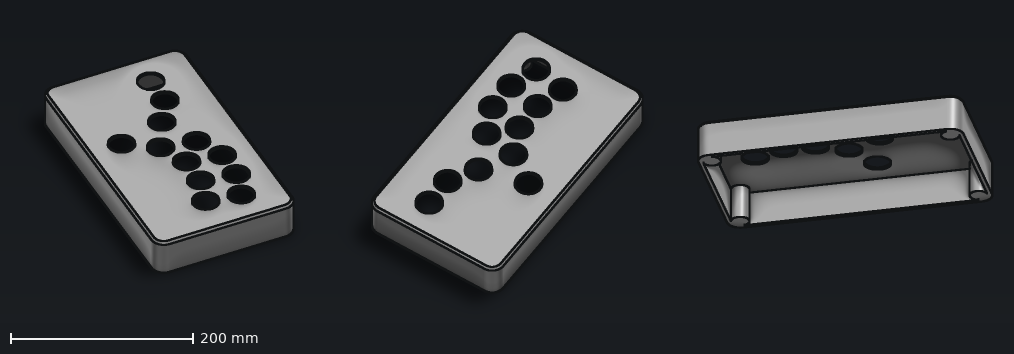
import cadquery as cq

length = 298.0
width = 171.0
height = 43.0
corner_radius = 15.0
edge_chamfer = 3.0

wall = 5.0
top_thickness = 3.0
cavity_length = length - 2 * wall
cavity_width = width - 2 * wall
cavity_height = height - top_thickness
cavity_radius = corner_radius - wall

post_radius = 10.0
post_spacing_x = length - 2 * corner_radius
post_spacing_y = width - 2 * corner_radius

button_diameter = 30.0
button_centres = [
    (-109.0, 29.5),
    (-73.0, 29.5),
    (-40.8, 10.5),
    (-26.0, -45.5),
    (5.0, 30.7),
    (39.0, 45.5),
    (75.0, 45.5),
    (109.0, 35.5),
    (-2.0, -9.5),
    (32.2, 5.7),
    (68.0, 5.7),
    (102.2, -4.5),
]


def rounded_block(size_x, size_y, size_z, radius):
    """Block standing on Z = 0 with rounded vertical edges."""
    block = cq.Workplane("XY").box(size_x, size_y, size_z, centered=(True, True, False))
    return block.edges("|Z").fillet(radius)


body = rounded_block(length, width, height, corner_radius)
body = body.faces(">Z").edges().chamfer(edge_chamfer)

cavity = rounded_block(cavity_length, cavity_width, cavity_height, cavity_radius)
posts = (
    cq.Workplane("XY")
    .rarray(post_spacing_x, post_spacing_y, 2, 2)
    .circle(post_radius)
    .extrude(cavity_height)
)
cavity = cavity.cut(posts)

buttons = (
    cq.Workplane("XY")
    .workplane(offset=cavity_height)
    .pushPoints(button_centres)
    .circle(button_diameter / 2)
    .extrude(top_thickness)
)

result = body.cut(cavity).cut(buttons)